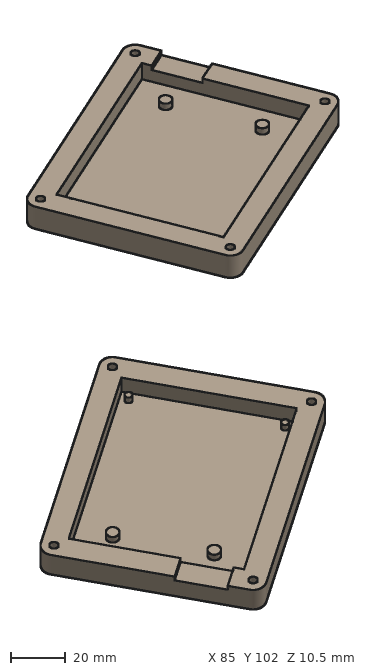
import cadquery as cq

width = 85.0
length = 102.0
height = 10.5
corner_radius = 5.0

wall = 9.5
floor_thickness = 3.0
pocket_depth = height - floor_thickness

screw_hole_diameter = 3.4

notch_left_inset = 13.4
notch_width = 20.0
notch_depth = 2.0

pin_height = 3.0
back_pin_diameter = 5.0
back_pin_spacing = 38.2
back_pin_inset = 20.6
front_pin_diameter = 3.0
front_pin_spacing = 59.0
front_pin_inset = 13.1


def make_block():
    """Plate with its bottom on Z = 0 and rounded vertical corners."""
    block = cq.Workplane("XY").box(width, length, height, centered=(True, True, False))
    return block.edges("|Z").fillet(corner_radius)


def cut_pocket(body):
    return body.faces(">Z").workplane().rect(width - 2 * wall, length - 2 * wall).cutBlind(-pocket_depth)


def cut_screw_holes(body):
    hole_centers = (
        cq.Workplane("XY")
        .rect(width - 2 * corner_radius, length - 2 * corner_radius, forConstruction=True)
        .vertices()
    )
    return body.cut(hole_centers.circle(screw_hole_diameter / 2).extrude(height))


def cut_notch(body):
    """Lower the back wall between the pocket and the outer face."""
    center_x = -width / 2 + notch_left_inset + notch_width / 2
    center_y = length / 2 - wall / 2
    notch = (
        cq.Workplane("XY", origin=(center_x, center_y, height - notch_depth))
        .box(notch_width, wall, notch_depth, centered=(True, True, False))
    )
    return body.cut(notch)


def add_pin_pair(body, diameter, spacing, center_y):
    """Two pins placed symmetrically about the YZ plane."""
    pins = (
        cq.Workplane("XY")
        .pushPoints([(-spacing / 2, center_y), (spacing / 2, center_y)])
        .circle(diameter / 2)
        .extrude(floor_thickness + pin_height)
    )
    return body.union(pins)


result = make_block()
result = cut_pocket(result)
result = cut_screw_holes(result)
result = cut_notch(result)
result = add_pin_pair(result, back_pin_diameter, back_pin_spacing, length / 2 - back_pin_inset)
result = add_pin_pair(result, front_pin_diameter, front_pin_spacing, -length / 2 + front_pin_inset)